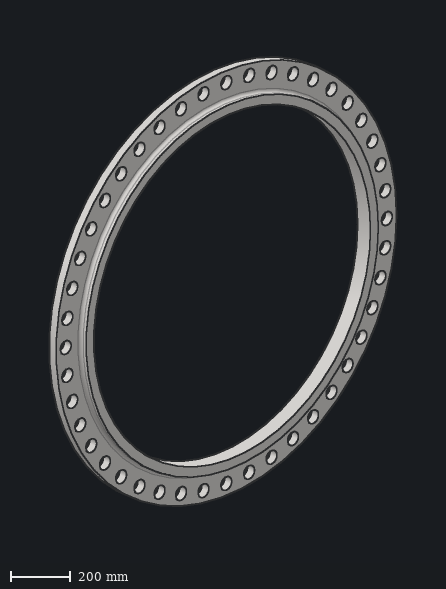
import cadquery as cq

outer_diameter = 1568.0
overall_width = 63.0
bore_diameter = 1274.0

plate_thickness = 35.0
hub_diameter = 1345.0
hub_fillet_radius = 13.0

bolt_hole_count = 44
bolt_hole_diameter = 49.0
bolt_circle_diameter = 1479.0


def ring_profile():
    """Half section of the ring: X along the axis, Y along the radius."""
    bore_radius = bore_diameter / 2
    outer_radius = outer_diameter / 2
    hub_radius = hub_diameter / 2
    fillet_end = plate_thickness + hub_fillet_radius
    return (
        cq.Workplane("XY")
        .moveTo(0, bore_radius)
        .lineTo(0, outer_radius)
        .lineTo(plate_thickness, outer_radius)
        .lineTo(plate_thickness, hub_radius + hub_fillet_radius)
        .radiusArc((fillet_end, hub_radius), -hub_fillet_radius)
        .lineTo(overall_width, hub_radius)
        .lineTo(overall_width, bore_radius)
        .close()
    )


def bolt_holes():
    """Cylinders through the plate, evenly spaced with the first one on the Y axis."""
    return (
        cq.Workplane("YZ")
        .polarArray(bolt_circle_diameter / 2, 0, 360, bolt_hole_count)
        .circle(bolt_hole_diameter / 2)
        .extrude(plate_thickness)
    )


ring = ring_profile().revolve(360, (0, 0, 0), (1, 0, 0))
result = ring.cut(bolt_holes())